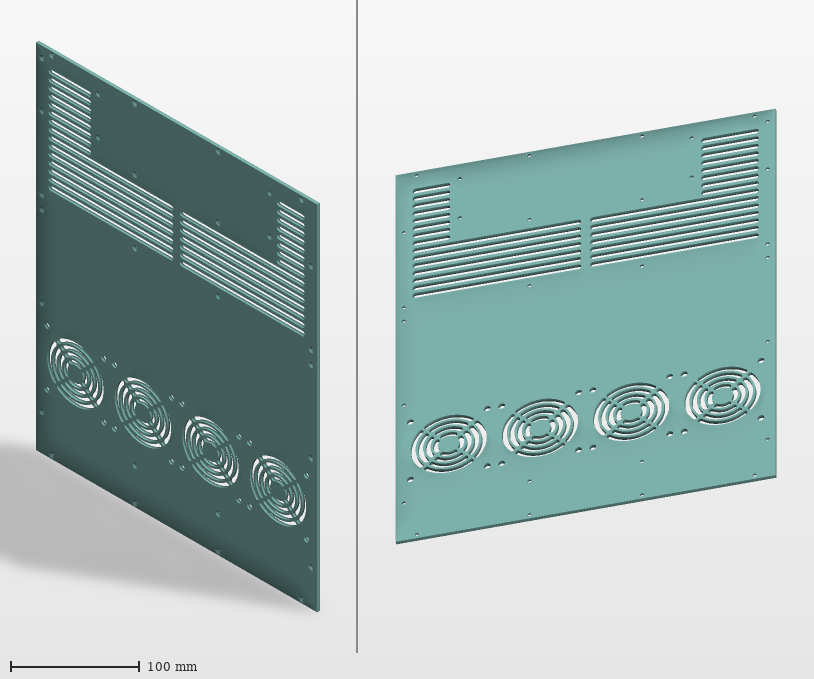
import cadquery as cq
import math

PANEL_WIDTH = 304.0
PANEL_HEIGHT = 393.0
PANEL_THICKNESS = 3.0
FRONT_Y = -PANEL_THICKNESS / 2

SCREW_HOLE_DIAMETER = 3.2
SCREW_HEAD_DIAMETER = 5.6
COUNTERSINK_ANGLE = 90.0
SCREW_PITCH = 90.0
SIDE_MARGIN = 6.5
EDGE_MARGIN = 4.0
INNER_COLUMN_X = SCREW_PITCH / 2
OUTER_COLUMN_X = INNER_COLUMN_X + SCREW_PITCH
SIDE_COLUMN_X = PANEL_WIDTH / 2 - SIDE_MARGIN
EDGE_ROW_Z = PANEL_HEIGHT / 2 - EDGE_MARGIN
CORNER_SCREW_Z = 184.4
UPPER_SIDE_ROW_Z = 133.5
ABOVE_VENT_ROW_Z = 124.0
BELOW_VENT_ROW_Z = 53.0
MIDDLE_ROW_Z = 38.5
ABOVE_FAN_ROW_Z = MIDDLE_ROW_Z - SCREW_PITCH
BELOW_FAN_ROW_Z = -156.5

MODULE_HOLE_DIAMETER = 3.2
MODULE_HEAD_DIAMETER = 5.0
MODULE_CENTER_X = 8.0
MODULE_CENTER_Z = 160.0
MODULE_PITCH_X = 185.5
MODULE_PITCH_Z = 42.0

SLOT_WIDTH = 5.0
SLOT_PITCH = 8.0
TOP_SLOT_Z = 176.0
SHORT_ROW_COUNT = 8
LONG_ROW_COUNT = 7
SLOT_OUTER_X = 138.5
SLOT_INNER_X = 3.5
LEFT_SHORT_SLOT_END_X = -92.3
RIGHT_SHORT_SLOT_START_X = 108.3

FAN_COUNT = 4
FAN_PITCH = 73.0
FAN_Z = -101.5
FAN_SCREW_PITCH = 61.5
FAN_SCREW_DIAMETER = 5.5
GRILLE_RING_COUNT = 4
GRILLE_HUB_RADIUS = 8.5
GRILLE_GAP = 4.0
GRILLE_RIB = 2.0
QUADRANT_COUNT = 4
SPOKE_WIDTH = 2.0


def front_plane():
    """Workplane on the front face: local x is X, local y is Z, normal is -Y."""
    return cq.Workplane("XZ", origin=(0, FRONT_Y, 0))


def make_panel():
    return cq.Workplane("XY").box(PANEL_WIDTH, PANEL_THICKNESS, PANEL_HEIGHT)


def mirrored_pair(x, z):
    return [(-x, z), (x, z)]


def mounting_screw_points():
    points = [(-SIDE_COLUMN_X, CORNER_SCREW_Z)]
    for z in (UPPER_SIDE_ROW_Z, BELOW_VENT_ROW_Z, MIDDLE_ROW_Z, ABOVE_FAN_ROW_Z, BELOW_FAN_ROW_Z):
        points += mirrored_pair(SIDE_COLUMN_X, z)
    for z in (EDGE_ROW_Z, ABOVE_VENT_ROW_Z, BELOW_VENT_ROW_Z, BELOW_FAN_ROW_Z, -EDGE_ROW_Z):
        points += mirrored_pair(INNER_COLUMN_X, z)
    for z in (EDGE_ROW_Z, -EDGE_ROW_Z):
        points += mirrored_pair(OUTER_COLUMN_X, z)
    return points


def cut_mounting_screws(body):
    return body.copyWorkplane(front_plane()).pushPoints(mounting_screw_points()).cskHole(
        SCREW_HOLE_DIAMETER, SCREW_HEAD_DIAMETER, COUNTERSINK_ANGLE
    )


def cut_module_screws(body):
    return (
        body.copyWorkplane(front_plane())
        .center(MODULE_CENTER_X, MODULE_CENTER_Z)
        .rarray(MODULE_PITCH_X, MODULE_PITCH_Z, 2, 2)
        .cskHole(MODULE_HOLE_DIAMETER, MODULE_HEAD_DIAMETER, COUNTERSINK_ANGLE)
    )


def cut_slot_column(body, start_x, end_x, first_row, row_count):
    """Cut equal slots from start_x to end_x in consecutive rows."""
    middle_x = (start_x + end_x) / 2
    rows = range(first_row, first_row + row_count)
    centers = [(middle_x, TOP_SLOT_Z - row * SLOT_PITCH) for row in rows]
    slots = front_plane().pushPoints(centers).slot2D(end_x - start_x, SLOT_WIDTH)
    return body.cut(slots.extrude(-PANEL_THICKNESS))


def cut_vents(body):
    body = cut_slot_column(body, -SLOT_OUTER_X, LEFT_SHORT_SLOT_END_X, 0, SHORT_ROW_COUNT)
    body = cut_slot_column(body, RIGHT_SHORT_SLOT_START_X, SLOT_OUTER_X, 0, SHORT_ROW_COUNT)
    body = cut_slot_column(body, -SLOT_OUTER_X, -SLOT_INNER_X, SHORT_ROW_COUNT, LONG_ROW_COUNT)
    return cut_slot_column(body, SLOT_INNER_X, SLOT_OUTER_X, SHORT_ROW_COUNT, LONG_ROW_COUNT)


def polar_point(radius, angle):
    return (radius * math.cos(angle), radius * math.sin(angle))


def make_arc_slot(middle_radius, middle):
    """Arc slot with round ends about the panel centre, its middle at the given angle.

    It ends half a spoke width short of the diagonals on both sides.
    """
    inner_radius = middle_radius - GRILLE_GAP / 2
    outer_radius = middle_radius + GRILLE_GAP / 2
    half_angle = math.pi / 4 - math.asin((SPOKE_WIDTH + GRILLE_GAP) / 2 / middle_radius)
    tip_angle = half_angle + 2 * math.asin(GRILLE_GAP / 4 / middle_radius)
    start = middle - half_angle
    end = middle + half_angle
    start_tip = polar_point(middle_radius, middle - tip_angle)
    end_tip = polar_point(middle_radius, middle + tip_angle)
    return (
        front_plane()
        .moveTo(*polar_point(outer_radius, start))
        .threePointArc(polar_point(outer_radius, middle), polar_point(outer_radius, end))
        .threePointArc(end_tip, polar_point(inner_radius, end))
        .threePointArc(polar_point(inner_radius, middle), polar_point(inner_radius, start))
        .threePointArc(start_tip, polar_point(outer_radius, start))
        .close()
        .extrude(-PANEL_THICKNESS)
    )


def make_grille_slots():
    """All arc slots of one fan grille, centred on the panel centre."""
    slots = []
    for ring in range(GRILLE_RING_COUNT):
        middle_radius = GRILLE_HUB_RADIUS + GRILLE_GAP / 2 + ring * (GRILLE_GAP + GRILLE_RIB)
        for quadrant in range(QUADRANT_COUNT):
            slots.append(make_arc_slot(middle_radius, quadrant * math.pi / 2).val())
    return cq.Workplane(cq.Compound.makeCompound(slots))


def cut_fans(body):
    grille_slots = make_grille_slots()
    for index in range(FAN_COUNT):
        fan_x = (index - (FAN_COUNT - 1) / 2) * FAN_PITCH
        body = body.cut(grille_slots.translate((fan_x, 0, FAN_Z)))
        body = (
            body.copyWorkplane(front_plane())
            .center(fan_x, FAN_Z)
            .rarray(FAN_SCREW_PITCH, FAN_SCREW_PITCH, 2, 2)
            .hole(FAN_SCREW_DIAMETER)
        )
    return body


panel = make_panel()
panel = cut_vents(panel)
panel = cut_fans(panel)
panel = cut_module_screws(panel)
result = cut_mounting_screws(panel)